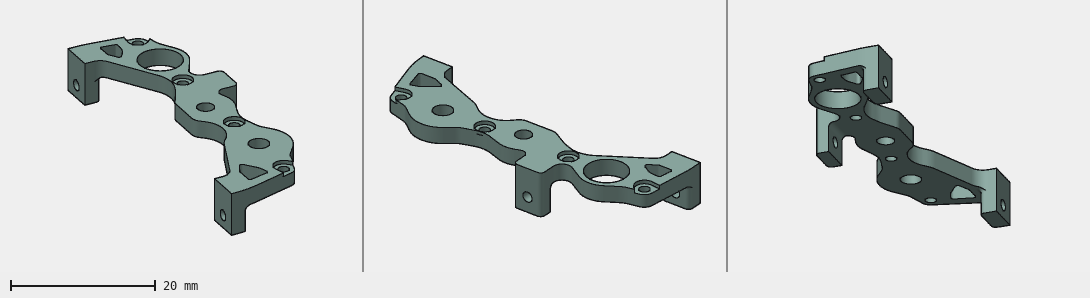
import cadquery as cq
import math

length = 48.0
width = 15.8
plate_thickness = 2.6
leg_height = 6.55
tab_height = 7.0

leg_width = 4.95
right_leg_width = 5.0
right_leg_left = length - right_leg_width
leg_depth = 2.5
tab_left = 15.5
tab_width = 4.9
tab_right = tab_left + tab_width
tab_depth = 2.0
tab_back_y = width - tab_depth
upright_radius = 0.7
root_radius = 0.7

screw_diameter = 1.6
counterbore_diameter = 3.0
counterbore_depth = 0.6
left_row_y = 9.7
right_row_y = 10.2
left_end_screw = (2.3, left_row_y)
left_inner_screw = (15.5, left_row_y)
right_inner_screw = (29.6, right_row_y)
right_end_screw = (44.1, right_row_y)

large_bore = (8.9, left_row_y)
large_bore_diameter = 6.4
large_lobe_radius = 4.05
middle_bore = (24, 8.75)
middle_bore_diameter = 2.5
middle_lobe_radius = 4.2
right_bore = (36.85, right_row_y)
right_bore_diameter = 3.0
right_lobe_radius = 4.7

cross_hole_z = -4.55
front_edge_y = 5.5
inner_bend_radius = 2.0


def lobe_apex(bore, radius, flank_angle):
    """Corner of two flanks, sloping equally, that touch a circle around the bore from behind."""
    return (bore[0], bore[1] + radius / math.cos(math.radians(flank_angle)), radius)


def rounded_polygon(corners):
    """Closed wire through (x, y, radius) corners, each rounded by a tangent arc."""
    path = None
    for i, (x, y, radius) in enumerate(corners):
        corner = cq.Vector(x, y)
        before = cq.Vector(*corners[i - 1][:2])
        after = cq.Vector(*corners[(i + 1) % len(corners)][:2])
        toward_before = (before - corner).normalized()
        toward_after = (after - corner).normalized()
        half_angle = toward_before.getAngle(toward_after) / 2
        tangent_length = radius / math.tan(half_angle)
        bisector = (toward_before + toward_after).normalized()
        start = corner + toward_before * tangent_length
        middle = corner + bisector * (radius / math.sin(half_angle) - radius)
        end = corner + toward_after * tangent_length
        if path is None:
            path = cq.Workplane("XY").moveTo(start.x, start.y)
        else:
            path = path.lineTo(start.x, start.y)
        if radius > 0:
            path = path.threePointArc((middle.x, middle.y), (end.x, end.y))
    return path.close()


outline_corners = [
    (0, 0, 0),
    (leg_width, 0, 0),
    (leg_width, 2.45, inner_bend_radius),
    (13.5, 7.8, 3.85),
    (15.65, 8.15, 3.85),
    (17.95, 7.3, 5.3),
    (21.0, front_edge_y, 1.7),
    (26.7, front_edge_y, 1.7),
    (30.3, 9.45, 4.05),
    (34.3, 6.1, 3.85),
    (right_leg_left, 2.55, inner_bend_radius),
    (right_leg_left, 0, 0),
    (length, 0, 0),
    (length, 2.4, 13.45),
    (45.35, 11.4, 1.5),
    (41.7, 12.5, 1.9),
    lobe_apex(right_bore, right_lobe_radius, flank_angle=38.7),
    (32.35, 12.6, 1.9),
    (28.75, 11.45, 4.55),
    lobe_apex(middle_bore, middle_lobe_radius, flank_angle=19.3),
    (tab_right, 11.9, 1.0),
    (tab_right, width, upright_radius),
    (tab_left, width, upright_radius),
    (tab_left, 10.45, 1.5),
    lobe_apex(large_bore, large_lobe_radius, flank_angle=32.2),
    (4.35, 11.65, 3.85),
    (0.95, 11.0, 1.5),
    (0, 2.5, 9.6),
]

left_window_corners = [
    (1.75, 4.05, 0.35),
    (4.15, 4.05, 0.5),
    (5.9, 5.2, 0.4),
    (3.85, 6.55, 2.65),
    (2.05, 6.55, 0.25),
]

right_window_corners = [
    (42.9, 4.05, 0.5),
    (45.7, 4.05, 0.35),
    (44.85, 7.5, 0.4),
    (43.25, 7.0, 2.4),
    (40.75, 5.05, 0.4),
]


def leg(left_x, leg_span):
    """Leg with rounded back corners, flaring into the underside of an oversize slab."""
    margin = 2 * root_radius
    slab = (
        cq.Workplane("XY")
        .box(leg_span + 2 * margin, leg_depth + 2 * margin, plate_thickness, centered=False)
        .translate((left_x - margin, -margin, -plate_thickness))
    )
    post = (
        cq.Workplane("XY")
        .box(leg_span, leg_depth, leg_height, centered=False)
        .translate((left_x, 0, -leg_height))
        .edges("|Z and >Y")
        .fillet(upright_radius)
    )
    root = cq.selectors.BoxSelector(
        (left_x - root_radius, -root_radius, -plate_thickness - root_radius / 2),
        (left_x + leg_span + root_radius, leg_depth + root_radius, -plate_thickness + root_radius / 2),
    )
    return slab.union(post).edges(root).fillet(root_radius)


def tab():
    """Rear tab with a fillet along its front face under the plate."""
    root_z = -plate_thickness - root_radius
    arc_offset = root_radius * (1 - math.sqrt(0.5))
    return (
        cq.Workplane("YZ", origin=(tab_left, 0, 0))
        .moveTo(width, 0)
        .lineTo(width, -tab_height)
        .lineTo(tab_back_y, -tab_height)
        .lineTo(tab_back_y, root_z)
        .threePointArc(
            (tab_back_y - arc_offset, -plate_thickness - arc_offset),
            (tab_back_y - root_radius, -plate_thickness),
        )
        .lineTo(tab_back_y - root_radius, 0)
        .close()
        .extrude(tab_width)
    )


def vertical_hole(center, diameter):
    return cq.Workplane("XY").center(*center).circle(diameter / 2).extrude(-plate_thickness)


def cross_hole(x, y_start, depth):
    return (
        cq.Workplane("XZ", origin=(x, y_start, cross_hole_z))
        .circle(screw_diameter / 2)
        .extrude(-depth)
    )


def counterbore(center):
    return cq.Workplane("XY").center(*center).circle(counterbore_diameter / 2).extrude(-counterbore_depth)


def open_side(center, back_angle, front_angle, outward):
    """Extends a counterbore past the plate edge, between two lines tangent to it.

    The angles locate the tangent points; outward is -1 for the left end and 1 for the right end.
    """
    reach = counterbore_diameter
    points = []
    for angle, turn in ((back_angle, -outward), (front_angle, outward)):
        a = math.radians(angle)
        tangent_x = center[0] + counterbore_diameter / 2 * math.cos(a)
        tangent_y = center[1] + counterbore_diameter / 2 * math.sin(a)
        far_x = tangent_x - turn * reach * math.sin(a)
        far_y = tangent_y + turn * reach * math.cos(a)
        points.append(((tangent_x, tangent_y), (far_x, far_y)))
    (back, back_far), (front, front_far) = points
    return (
        cq.Workplane("XY")
        .polyline([center, back, back_far, front_far, front])
        .close()
        .extrude(-counterbore_depth)
    )


envelope = rounded_polygon(outline_corners).extrude(-tab_height)
plate = rounded_polygon(outline_corners).extrude(-plate_thickness)
uprights = (
    leg(0, leg_width)
    .union(leg(right_leg_left, right_leg_width))
    .union(tab())
    .intersect(envelope)
)
result = plate.union(uprights)

for window_corners in (left_window_corners, right_window_corners):
    result = result.cut(rounded_polygon(window_corners).extrude(-plate_thickness))
result = result.cut(vertical_hole(large_bore, large_bore_diameter))
result = result.cut(vertical_hole(middle_bore, middle_bore_diameter))
result = result.cut(vertical_hole(right_bore, right_bore_diameter))

for screw in (left_end_screw, left_inner_screw, right_inner_screw, right_end_screw):
    result = result.cut(vertical_hole(screw, screw_diameter)).cut(counterbore(screw))
result = result.cut(open_side(left_end_screw, back_angle=45, front_angle=263, outward=-1))
result = result.cut(open_side(right_end_screw, back_angle=135, front_angle=285, outward=1))

result = result.cut(cross_hole(leg_width / 2, 0, leg_depth))
result = result.cut(cross_hole(right_leg_left + right_leg_width / 2, 0, leg_depth))
result = result.cut(cross_hole(tab_left + tab_width / 2, tab_back_y, tab_depth))